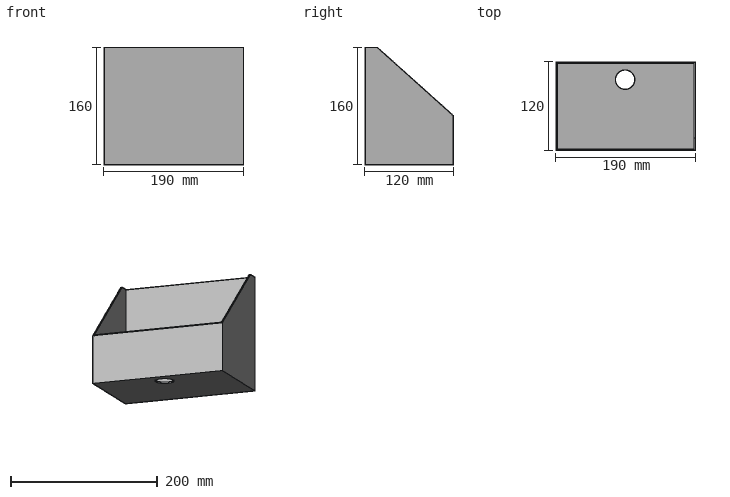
import cadquery as cq

width = 190.0
depth = 120.0
height = 160.0
wall = 1.9

low_wall_height = 67.0
flat_rim_length = 16.5

hole_diameter = 26.0
hole_center_x = -1.0
hole_to_low_wall = 24.0

front_y = -depth / 2
back_y = depth / 2
profile = [
    (front_y, 0),
    (back_y, 0),
    (back_y, low_wall_height),
    (front_y + flat_rim_length, height),
    (front_y, height),
]
body = cq.Workplane("YZ").polyline(profile).close().extrude(width / 2, both=True)

cavity = (
    cq.Workplane("XY")
    .workplane(offset=wall)
    .rect(width - 2 * wall, depth - 2 * wall)
    .extrude(height)
)

floor_hole = (
    cq.Workplane("XY")
    .center(hole_center_x, back_y - hole_to_low_wall)
    .circle(hole_diameter / 2)
    .extrude(2 * wall)
)

result = body.cut(cavity).cut(floor_hole)